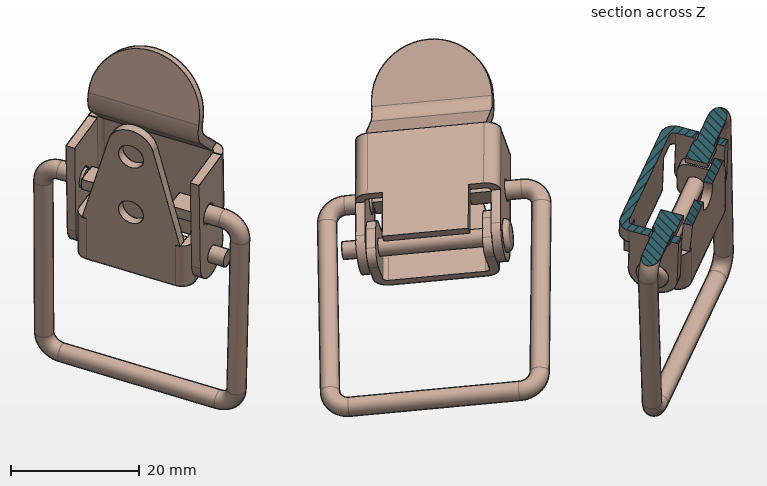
import cadquery as cq
import math


sheet = 1.5
bend_out = 2.25
bend_in = bend_out - sheet

rivet_d = 2.85
rivet_r = rivet_d / 2
rivet_end_x = 14.15
head_r = 2.65
head_h = 0.95
head_round = 0.9

lever_tilt = 1.6
lever_half = 11.45
lever_in = lever_half - sheet
wall_r = 4.0
wall_top = 16.9
lever_back = 6.35
back_top = 17.0
back_bottom = 6.0
tail_half = 6.8
tail_bottom = -1.95

handle_half = 9.5
leg_angle = 42
leg_length = 6.25
knee_in = 3.0
knee_out = knee_in + sheet
tip_angle = 19.5
tip_length = 9.8

wire_d = 3.0
wire_r = wire_d / 2
wire_bend = 3.0
bail_y = -1.15
bail_z = 8.7
bail_tilt = -1.0
bail_drop = 35.65
bail_top_half = 33.95 / 2
bail_bottom_half = 33.05 / 2
stub_end_x = 9.5
flat_end_x = 5.6
flat_width = 3.7
flat_thick = 1.9
bail_hole_r = 1.75

base_half = lever_in
base_in = base_half - sheet
base_front = -5.05
base_back = 3.1
base_bottom = -wall_r
base_top = 3.95
tongue_r = 3.95
tongue_tip_z = 20.1
mount_hole_r = 2.15
mount_hole_z = (7.9, 18.9)


def block(x0, x1, y0, y1, z0, z1):
    """Axis-aligned box between two corners."""
    return cq.Workplane("XY").box(x1 - x0, y1 - y0, z1 - z0, centered=False).translate((x0, y0, z0))


def rod_x(radius, x0, x1, y=0, z=0):
    """Cylinder along X."""
    return cq.Workplane("YZ", origin=(x0, y, z)).circle(radius).extrude(x1 - x0)


def channel(half, y_closed, y_open, z0, z1):
    """U-shaped sheet channel along Z, its closed side at y_closed with rounded bends."""
    y0, y1 = sorted((y_closed, y_open))
    side = ">Y" if y_closed > y_open else "<Y"
    inner = block(-half + sheet, half - sheet, y0, y1, z0, z1)
    inner = inner.translate((0, math.copysign(sheet, y_open - y_closed), 0))
    outer = block(-half, half, y0, y1, z0, z1)
    outer = outer.edges("|Z").edges(side).fillet(bend_out)
    inner = inner.edges("|Z").edges(side).fillet(bend_in)
    return outer.cut(inner)


def turn(point, angle, length):
    """Point reached in the YZ plane at an angle from +Z (positive towards +Y)."""
    a = math.radians(angle)
    return (point[0] + length * math.sin(a), point[1] + length * math.cos(a))


def plate_normal(angle):
    """Unit vector out of the front of a plate that leans back by the angle."""
    return (0, *turn((0, 0), angle - 90, 1))


def make_handle():
    """Bent handle: a leg leaning forward, a rounded knee and a domed tip leaning back."""
    corner = (lever_back, back_top)
    leg_in = turn(corner, -leg_angle, leg_length)
    centre = turn(leg_in, 90 - leg_angle, knee_in)
    mid_angle = (tip_angle - leg_angle) / 2 - 90
    knee_in_mid = turn(centre, mid_angle, knee_in)
    knee_out_mid = turn(centre, mid_angle, knee_out)
    tip_in = turn(centre, tip_angle - 90, knee_in)
    tip_out = turn(centre, tip_angle - 90, knee_out)
    leg_out = turn(centre, -leg_angle - 90, knee_out)
    heel = (lever_back - sheet, back_top - sheet * math.tan(math.radians(leg_angle / 2)))
    profile = (
        cq.Workplane("YZ", origin=(-handle_half, 0, 0))
        .moveTo(*corner)
        .lineTo(*leg_in)
        .threePointArc(knee_in_mid, tip_in)
        .lineTo(*turn(tip_in, tip_angle, tip_length))
        .lineTo(*turn(tip_out, tip_angle, tip_length))
        .lineTo(*tip_out)
        .threePointArc(knee_out_mid, leg_out)
        .lineTo(*heel)
        .close()
        .extrude(2 * handle_half)
    )
    dome_centre = turn(tip_in, tip_angle, tip_length - handle_half)
    tip_plane = cq.Plane(origin=(0, *dome_centre), xDir=(1, 0, 0), normal=plate_normal(tip_angle))
    dome = cq.Workplane(tip_plane).circle(handle_half).extrude(sheet)
    beyond = cq.Workplane(tip_plane).center(0, handle_half).rect(2 * handle_half, 2 * handle_half)
    return profile.cut(beyond.extrude(sheet).cut(dome))


def make_lever():
    walls = (
        block(-lever_half, lever_half, -wall_r, wall_r, 0, wall_top)
        .union(rod_x(wall_r, -lever_half, lever_half))
        .cut(block(-lever_in, lever_in, -wall_r, wall_r, -wall_r, wall_top))
    )
    back = channel(lever_half, lever_back, wall_r, back_bottom, back_top)
    tail = block(-tail_half, tail_half, lever_back - sheet, lever_back, tail_bottom, back_bottom)
    lever = walls.union(back).union(tail).union(make_handle())
    lever = lever.rotate((0, 0, 0), (1, 0, 0), lever_tilt)
    lever = lever.cut(rod_x(rivet_r, -lever_half, lever_half))
    return lever.cut(rod_x(bail_hole_r, -lever_half, lever_half, bail_y, bail_z))


def make_base():
    foot = channel(base_half, base_front, base_back, base_bottom, base_top)
    foot = foot.edges("|X").edges(">Y").fillet(bend_out)
    rise = tongue_tip_z - base_top
    lean = math.asin(tongue_r / math.hypot(base_in, rise)) - math.atan2(base_in, rise)
    side_x = tongue_r * math.cos(lean)
    side_z = tongue_tip_z - tongue_r * math.sin(lean)
    tongue = (
        cq.Workplane("XZ", origin=(0, base_front, 0))
        .moveTo(-base_in, base_top)
        .lineTo(-side_x, side_z)
        .threePointArc((0, tongue_tip_z + tongue_r), (side_x, side_z))
        .lineTo(base_in, base_top)
        .close()
        .extrude(-sheet)
    )
    holes = (
        cq.Workplane("XZ", origin=(0, base_front, 0))
        .pushPoints([(0, z) for z in mount_hole_z])
        .circle(mount_hole_r)
        .extrude(-sheet)
    )
    return foot.union(tongue).cut(holes).cut(rod_x(rivet_r, -base_half, base_half))


def make_rivet():
    head = rod_x(head_r, -lever_half - head_h, -lever_half).faces("<X").edges().fillet(head_round)
    return head.union(rod_x(rivet_r, -lever_half, rivet_end_x))


def make_bail():
    """Wire loop in the XZ plane, open at the top, with flattened ends; tilted about its top."""
    run = bail_top_half - bail_bottom_half
    lean = math.atan2(run, bail_drop)
    top_setback = wire_bend * math.tan((math.pi / 2 - lean) / 2)
    bottom_setback = wire_bend * math.tan((math.pi / 2 + lean) / 2)

    top_in = bail_top_half - top_setback
    top_leg = (bail_top_half - top_setback * math.sin(lean), -top_setback * math.cos(lean))
    bottom_leg = (
        bail_bottom_half + bottom_setback * math.sin(lean),
        -bail_drop + bottom_setback * math.cos(lean),
    )
    bottom_in = bail_bottom_half - bottom_setback

    path = (
        cq.Workplane("XZ")
        .moveTo(-stub_end_x, 0)
        .lineTo(-top_in, 0)
        .tangentArcPoint((-top_leg[0], top_leg[1]), relative=False)
        .lineTo(-bottom_leg[0], bottom_leg[1])
        .tangentArcPoint((-bottom_in, -bail_drop), relative=False)
        .lineTo(bottom_in, -bail_drop)
        .tangentArcPoint(bottom_leg, relative=False)
        .lineTo(*top_leg)
        .tangentArcPoint((top_in, 0), relative=False)
        .lineTo(stub_end_x, 0)
    )
    bail = cq.Workplane("YZ", origin=(-stub_end_x, 0, 0)).circle(wire_r).sweep(path)
    for x0, x1 in ((-stub_end_x, -flat_end_x), (flat_end_x, stub_end_x)):
        flat = block(x0, x1, -flat_width / 2, flat_width / 2, -flat_thick / 2, flat_thick / 2)
        bail = bail.union(flat)
    return bail.rotate((0, 0, 0), (1, 0, 0), bail_tilt).translate((0, bail_y, bail_z))


lever = make_lever()
base = make_base()
rivet = make_rivet()
bail = make_bail()

bodies = (lever, base, rivet, bail)
result = cq.Compound.makeCompound([body.solids().val() for body in bodies])